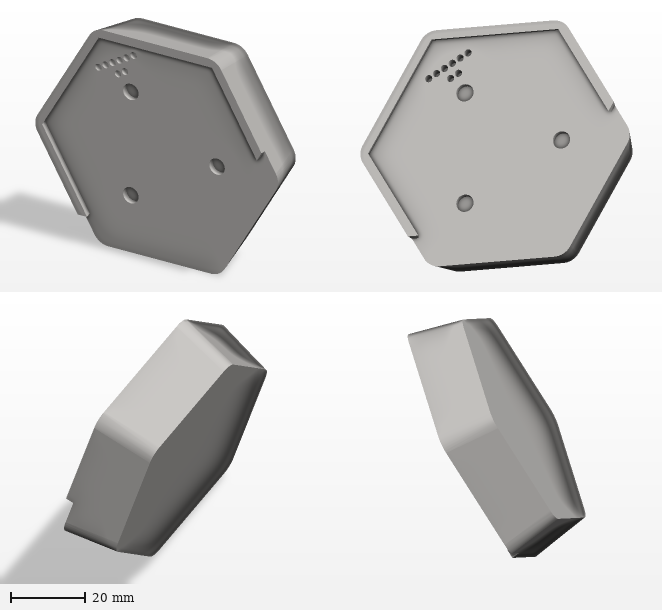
import cadquery as cq
import math

body_depth = 17.3
front_flat_radius = 33.25
draft_angle = 11
wall_slope = math.tan(math.radians(draft_angle))
corner_radius = 5.15

recess_depth = 2.25
recess_flat_radius = 30.7
opening_distance = 24.35
opening_angles = (-90, -30)

pocket_diameter = 4.85
pocket_depth = 1.9
pocket_circle_radius = 18.0
pocket_angles = (0, 120, 240)

pin_diameter = 2.0
pin_depth = 3.0
pin_pitch = 2.55
pin_direction = 120
pin_rows = ((27.3, 6), (23.85, 2))


def front_plane(depth):
    """Plane parallel to the front face, looking out along -Y."""
    return cq.Workplane("XZ", origin=(0, depth, 0))


def tapered_hexagon(flat_radius, slope, depth):
    """Hexagonal block behind Y = 0 whose flats move outward by `slope` per unit of depth."""
    corner_per_flat = 1 / math.cos(math.radians(30))
    front_diameter = 2 * flat_radius * corner_per_flat
    back_diameter = 2 * (flat_radius + slope * depth) * corner_per_flat
    return (
        front_plane(0)
        .polygon(6, front_diameter)
        .workplane(offset=-depth)
        .polygon(6, back_diameter)
        .loft(ruled=True)
    )


def make_body():
    body = tapered_hexagon(front_flat_radius, -wall_slope, body_depth)
    return body.edges("not #Y").fillet(corner_radius)


def make_recess():
    floor = front_plane(recess_depth)
    recess = tapered_hexagon(recess_flat_radius, wall_slope, recess_depth)
    block_length = front_flat_radius
    block_width = 4 * front_flat_radius
    for angle in opening_angles:
        block = (
            floor.center(opening_distance + block_length / 2, 0)
            .rect(block_length, block_width)
            .extrude(recess_depth)
            .rotate((0, 0, 0), (0, -1, 0), angle)
        )
        recess = recess.union(block)
    return recess


def make_pockets():
    centres = [
        (
            pocket_circle_radius * math.cos(math.radians(angle)),
            pocket_circle_radius * math.sin(math.radians(angle)),
        )
        for angle in pocket_angles
    ]
    pockets = front_plane(recess_depth + pocket_depth).pushPoints(centres)
    return pockets.circle(pocket_diameter / 2).extrude(pocket_depth)


def make_pin_holes():
    centres = [
        (distance, (index - (count - 1) / 2) * pin_pitch)
        for distance, count in pin_rows
        for index in range(count)
    ]
    holes = front_plane(recess_depth + pin_depth).pushPoints(centres)
    holes = holes.circle(pin_diameter / 2).extrude(pin_depth)
    return holes.rotate((0, 0, 0), (0, -1, 0), pin_direction)


result = make_body().cut(make_recess()).cut(make_pockets()).cut(make_pin_holes())